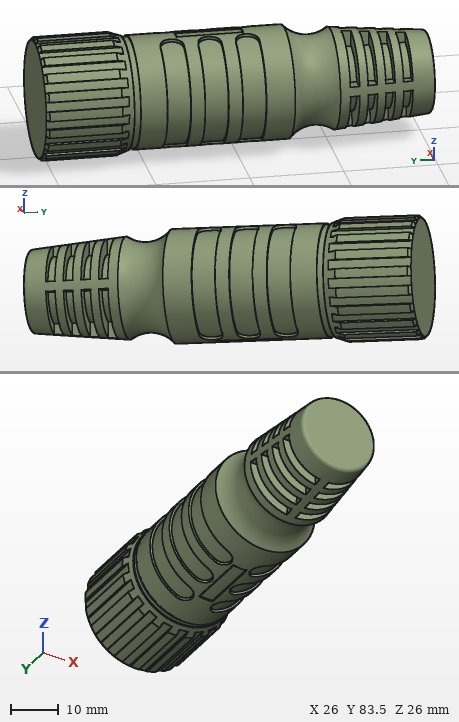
import cadquery as cq

length = 83.5
roll = 4.3
overlap = 0.8

nut_diameter = 26.0
nut_radius = nut_diameter / 2
nut_chamfer_length = 0.7
nut_taper_start = 16.1
nut_end = 18.9
nut_end_radius = 12.0
groove_floor_radius = 12.4
groove_count = 20
groove_width = 2.0

collar_radius = 11.8
body_start = 20.2
body_end = 53.0
body_radius = 12.0
recess_floor_radius = 11.4
recess_width = 5.0
recess_pitch = 8.0
recess_count = 3
recess_middle = 36.4
recess_gap = 4.85
panel_length = 14.1
panel_width = 3.2
panel_middle = 37.1
panel_depth = 0.25

waist_middle = 58.45
waist_radius = 9.5
tail_start = 62.9
tail_start_diameter = 21.6
tail_start_radius = tail_start_diameter / 2
tail_end_radius = 8.8
tail_fillet = 0.8
core_radius = 7.1
slot_width = 2.0
slot_pitch = 3.8
slot_count = 4
first_slot = 66.05
tail_rib_width = 2.1


def along(distance):
    """Y coordinate at a distance from the nut end."""
    return length / 2 - distance


def ring(inner_radius, outer_radius, start, end):
    """Tube about Y between two distances from the nut end."""
    return (
        cq.Workplane("XZ", origin=(0, along(start), 0))
        .circle(outer_radius)
        .circle(inner_radius)
        .extrude(end - start)
    )


def make_turned_shape():
    """Solid of revolution carrying every round surface."""
    profile = (
        cq.Workplane("XY")
        .moveTo(0, along(0))
        .lineTo(groove_floor_radius, along(0))
        .lineTo(nut_radius, along(nut_chamfer_length))
        .lineTo(nut_radius, along(nut_taper_start))
        .lineTo(nut_end_radius, along(nut_end))
        .lineTo(collar_radius, along(nut_end))
        .lineTo(collar_radius, along(body_start))
        .lineTo(body_radius, along(body_start))
        .lineTo(body_radius, along(body_end))
        .threePointArc((waist_radius, along(waist_middle)), (tail_start_radius, along(tail_start)))
        .lineTo(tail_end_radius, along(length))
        .lineTo(0, along(length))
        .close()
    )
    turned = profile.revolve(360, (0, 0, 0), (0, 1, 0))
    return turned.faces("<Y").edges().fillet(tail_fillet)


def make_nut_grooves():
    """Lengthwise grooves round the nut, placed so that a rib is centred on top."""
    pitch_angle = 360 / groove_count
    bars = cq.Workplane("XY")
    for index in range(groove_count):
        bar = (
            cq.Workplane("XY")
            .box(groove_width, nut_end, nut_radius + overlap, centered=(True, False, False))
            .translate((0, along(nut_end), 0))
            .rotate((0, 0, 0), (0, 1, 0), (index + 0.5) * pitch_angle)
        )
        bars = bars.add(bar)
    return ring(groove_floor_radius, nut_radius + overlap, 0, nut_end).intersect(bars.combine())


def make_finger_recesses():
    """Round-ended shallow bands on both sides of the body."""
    reach = 2 * body_radius
    height = 2 * (body_radius + overlap)
    bands = cq.Workplane("XY")
    for index in range(recess_count):
        distance = recess_middle + (index - (recess_count - 1) / 2) * recess_pitch
        for side in (-1, 1):
            middle = side * (recess_gap + reach) / 2
            band = (
                cq.Workplane("XY", origin=(middle, along(distance), -height / 2))
                .slot2D(reach, recess_width)
                .extrude(height)
            )
            bands = bands.add(band)
    shell = ring(recess_floor_radius, body_radius + overlap, body_start, body_end)
    return shell.intersect(bands.combine())


def make_label_panels():
    """Shallow rectangular panels between the recesses, top and bottom."""
    height = 2 * (body_radius + overlap)
    bar = cq.Workplane("XY").box(panel_width, panel_length, height).translate((0, along(panel_middle), 0))
    shell = ring(body_radius - panel_depth, body_radius + overlap, body_start, body_end)
    return shell.intersect(bar)


def make_tail_slots():
    """Rows of slots down to the core, split in quarters by four straight ribs."""
    slots = cq.Workplane("XY")
    for index in range(slot_count):
        start = first_slot + index * slot_pitch - slot_width / 2
        slots = slots.add(ring(core_radius, tail_start_radius + overlap, start, start + slot_width))
    rib_span = 2 * (tail_start_radius + 2 * overlap)
    ribs = (
        cq.Workplane("XY")
        .box(rib_span, length, tail_rib_width)
        .union(cq.Workplane("XY").box(tail_rib_width, length, rib_span))
    )
    return slots.combine().cut(ribs)


result = (
    make_turned_shape()
    .cut(make_nut_grooves())
    .cut(make_finger_recesses())
    .cut(make_label_panels())
    .cut(make_tail_slots())
    .rotate((0, 0, 0), (0, 1, 0), roll)
)